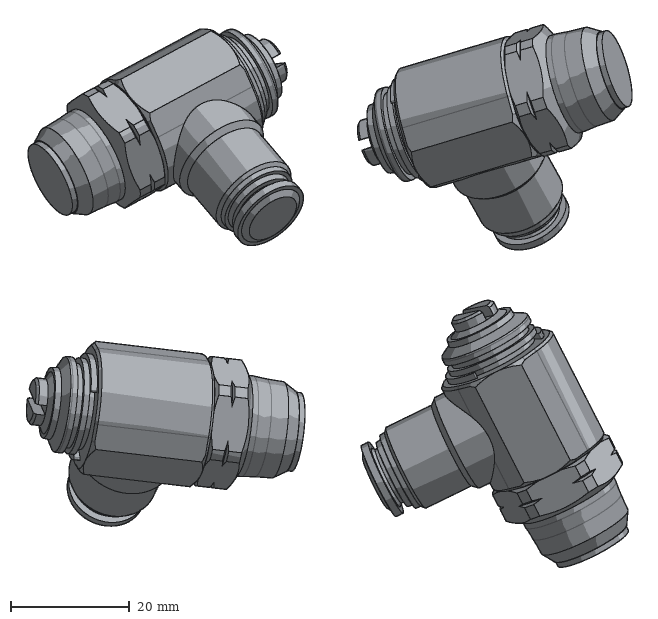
import cadquery as cq
import math

total_length = 45.8
branch_y = 26.5

body_start = 16.45
body_end = 36.5
body_radius = 10.5
body_chamfer = 0.45

nut_start = 9.5
nut_flat_radius = 10.0
nut_corner_radius = 11.0
nut_chamfer_angle = math.radians(30)
nut_bevel_end = 15.95
notch_y = 13.45
notch_width = 0.7
notch_depth = 0.6

collar_length = 1.0
thread_root_radius = 8.55
thread_tip_radius = 8.2
thread_tip_y = 3.2
thread_mid_radius = 8.35
thread_mid_y = 6.2
nose_radius = 6.7
nose_shoulder_radius = 6.85
nose_length = 1.0

shaft_radius = 7.2
rim_radius = 8.15
rim_start = 39.65
rim_end = 40.55
rim_edge_radius = 8.05
rim_edge_y = 40.85
seal_groove_start = 38.55
cap_start = 42.0
cap_end = 43.05
cap_base_radius = 6.15
cap_top_radius = 6.0
cone_radius = 5.25
knob_radius = 4.0
knob_base = 43.85
knob_chamfer = 0.45
slot_width = 1.75
slot_angle = 50.0

clip_radius = 9.02
clip_top = 37.55
clip_tip_fillet = 0.25
clip_opening_width = 13.38
clip_opening_angle = 243.0

branch_root_radius = 8.5
branch_root_end = 12.35
branch_radius = 7.6
branch_start = 13.38
branch_end = 22.0
shoulder_start = 22.55
shoulder_end = 23.5
shoulder_base_radius = 6.95
shoulder_tip_radius = 6.85
sleeve_end = 24.6
sleeve_base_radius = 6.2
sleeve_tip_radius = 6.05
neck_radius = 5.05
neck_end = 25.3
flare_radius = 5.5
flange_radius = 6.7
flange_start = 25.8
flange_end = 27.1
tip_base_radius = 5.9
tip_radius = 4.8
branch_length = 27.8


def turned_about_y(points):
    """Solid of revolution about Y from (radius, y) points; the first and last lie on the axis."""
    return cq.Workplane("XY").polyline(points).close().revolve(360, (0, 0, 0), (0, 1, 0))


def along_y(start):
    """Sketch plane at Y = start, with X to the right, Z up and its normal along -Y."""
    return cq.Workplane("XZ", origin=(0, start, 0))


def make_body():
    length = body_end - body_start
    tangent = body_radius * math.sqrt(0.5)
    apex = body_radius * math.sqrt(2)
    profile = (
        along_y(body_end)
        .moveTo(0, apex)
        .lineTo(tangent, tangent)
        .threePointArc((body_radius, 0), (tangent, -tangent))
        .lineTo(0, -apex)
        .lineTo(-tangent, -tangent)
        .threePointArc((-body_radius, 0), (-tangent, tangent))
        .close()
    )
    prism = profile.extrude(length).faces("<Y or >Y").chamfer(body_chamfer)
    flats = along_y(body_end).rect(2 * apex, 2 * body_radius).extrude(length)
    bevel = apex - body_radius
    corner_cones = turned_about_y([
        (0, body_start),
        (body_radius, body_start),
        (apex, body_start + bevel),
        (apex, body_end - bevel),
        (body_radius, body_end),
        (0, body_end),
    ])
    return prism.intersect(flats).intersect(corner_cones)


def make_nut():
    slope = math.tan(nut_chamfer_angle)
    lower_bevel_end = nut_start + (nut_corner_radius - thread_root_radius) * slope
    top_radius = nut_corner_radius - (body_start - nut_bevel_end) / slope
    turned = turned_about_y([
        (0, nut_start),
        (thread_root_radius, nut_start),
        (nut_corner_radius, lower_bevel_end),
        (nut_corner_radius, notch_y - notch_width / 2),
        (nut_corner_radius - notch_depth, notch_y),
        (nut_corner_radius, notch_y + notch_width / 2),
        (nut_corner_radius, nut_bevel_end),
        (top_radius, body_start),
        (0, body_start),
    ])
    corner_diameter = 2 * nut_flat_radius / math.cos(math.pi / 6)
    hexagon = along_y(body_start).polygon(6, corner_diameter).extrude(body_start - nut_start)
    return turned.intersect(hexagon)


def make_threaded_end():
    return turned_about_y([
        (0, 0),
        (nose_radius, 0),
        (nose_radius, nose_length),
        (nose_shoulder_radius, nose_length),
        (thread_tip_radius, thread_tip_y),
        (thread_mid_radius, thread_mid_y),
        (thread_root_radius, nut_start - collar_length),
        (thread_root_radius, nut_start),
        (0, nut_start),
    ])


def make_adjusting_end():
    turned = turned_about_y([
        (0, body_end),
        (shaft_radius, body_end),
        (shaft_radius, clip_top),
        (rim_radius, clip_top),
        (rim_radius, seal_groove_start),
        (shaft_radius, seal_groove_start),
        (shaft_radius, rim_start),
        (rim_radius, rim_start),
        (rim_radius, rim_end),
        (rim_edge_radius, rim_edge_y),
        (cap_base_radius, cap_start),
        (cap_top_radius, cap_end),
        (cone_radius, cap_end),
        (knob_radius, knob_base),
        (knob_radius, total_length - knob_chamfer),
        (knob_radius - knob_chamfer, total_length),
        (0, total_length),
    ])
    slot = (
        along_y(total_length)
        .transformed(rotate=(0, 0, slot_angle))
        .rect(3 * knob_radius, slot_width)
        .extrude(total_length - knob_base)
    )
    return turned.cut(slot)


def make_clip():
    thickness = clip_top - body_end
    ring = along_y(clip_top).circle(clip_radius).circle(shaft_radius).extrude(thickness)
    opening = (
        along_y(clip_top)
        .transformed(rotate=(0, 0, clip_opening_angle))
        .center(clip_radius, 0)
        .rect(2 * clip_radius, clip_opening_width)
        .extrude(thickness)
    )
    angle = math.radians(clip_opening_angle)
    direction = cq.Vector(math.cos(angle), 0, math.sin(angle))
    tips = cq.selectors.DirectionMinMaxSelector(direction, True)
    return ring.cut(opening).edges("|Y").edges(tips).fillet(clip_tip_fillet)


def make_branch():
    outline = [
        (0, 0),
        (0, branch_root_radius),
        (branch_root_end, branch_root_radius),
        (branch_start, branch_radius),
        (branch_end, branch_radius),
        (shoulder_start, shoulder_base_radius),
        (shoulder_end, shoulder_tip_radius),
        (shoulder_end, sleeve_base_radius),
        (sleeve_end, sleeve_tip_radius),
        (sleeve_end, neck_radius),
        (neck_end, neck_radius),
        (flange_start, flare_radius),
        (flange_start, flange_radius),
        (flange_end, flange_radius),
        (flange_end, tip_base_radius),
        (branch_length, tip_radius),
        (branch_length, 0),
    ]
    return (
        cq.Workplane("XY", origin=(0, branch_y, 0))
        .polyline(outline)
        .close()
        .revolve(360, (0, 0, 0), (1, 0, 0))
    )


result = (
    make_body()
    .union(make_nut())
    .union(make_threaded_end())
    .union(make_adjusting_end())
    .union(make_clip())
    .union(make_branch())
)